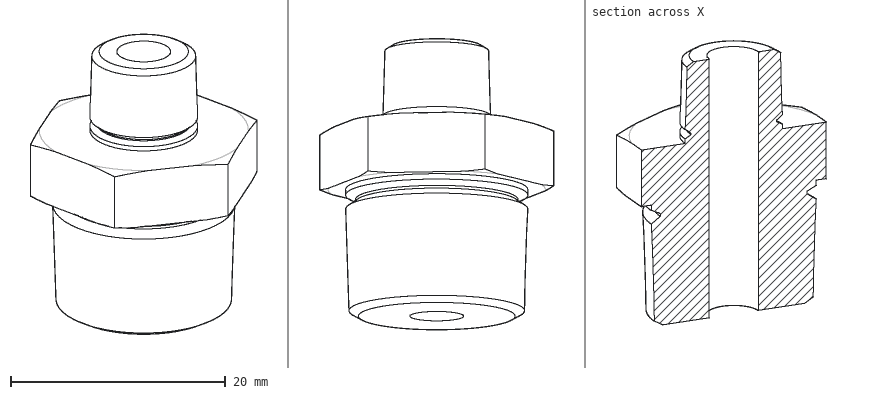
import cadquery as cq
import math

total_height = 25.5
bore_radius = 2.5

hex_across_corners = 21.93
hex_bottom = 11.95
hex_height = 5.6
hex_top = hex_bottom + hex_height
hex_top_face_radius = 9.75
hex_bottom_face_radius = 10.12
hex_chamfer_angle = 12.0

large_end_radius = 7.3
large_tip_radius = 8.19
large_root_radius = 8.5
large_chamfer_height = 0.5
large_thread_top = 10.12
large_groove_radius = 7.57
large_groove_floor_bottom = 10.75
large_groove_floor_top = 11.02
large_collar_height = 0.5

small_end_radius = 4.15
small_tip_radius = 4.85
small_root_radius = 5.02
small_chamfer_height = 0.43
small_thread_bottom = 18.92
small_groove_radius = 4.4
small_groove_floor_bottom = 18.33
small_groove_floor_top = 18.45
small_collar_height = 0.43


def revolve_profile(points):
    """Turn a closed (radius, height) outline around Z."""
    return cq.Workplane("XZ").polyline(points).close().revolve(360, (0, 0, 0), (0, 1, 0))


def make_hexagon():
    """Hexagon with its corners turned conically at both faces."""
    corner_radius = hex_across_corners / 2
    slope = math.tan(math.radians(hex_chamfer_angle))
    bottom_drop = (corner_radius - hex_bottom_face_radius) * slope
    top_drop = (corner_radius - hex_top_face_radius) * slope
    prism = cq.Workplane("XY").workplane(offset=hex_bottom)
    prism = prism.polygon(6, hex_across_corners).extrude(hex_height)
    envelope = revolve_profile([
        (0, hex_bottom),
        (hex_bottom_face_radius, hex_bottom),
        (corner_radius, hex_bottom + bottom_drop),
        (corner_radius, hex_top - top_drop),
        (hex_top_face_radius, hex_top),
        (0, hex_top),
    ])
    return prism.intersect(envelope)


def make_turned_body():
    """Both tapered threads with their relief grooves and collars."""
    return revolve_profile([
        (0, 0),
        (large_end_radius, 0),
        (large_tip_radius, large_chamfer_height),
        (large_root_radius, large_thread_top),
        (large_groove_radius, large_groove_floor_bottom),
        (large_groove_radius, large_groove_floor_top),
        (large_root_radius, hex_bottom - large_collar_height),
        (large_root_radius, hex_bottom),
        (small_root_radius, hex_top),
        (small_root_radius, hex_top + small_collar_height),
        (small_groove_radius, small_groove_floor_bottom),
        (small_groove_radius, small_groove_floor_top),
        (small_root_radius, small_thread_bottom),
        (small_tip_radius, total_height - small_chamfer_height),
        (small_end_radius, total_height),
        (0, total_height),
    ])


bore = cq.Workplane("XY").circle(bore_radius).extrude(total_height)
result = make_turned_body().union(make_hexagon()).cut(bore)